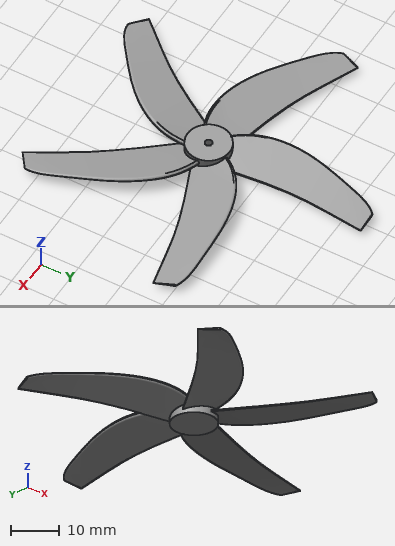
import cadquery as cq
import math

HUB_RADIUS = 5.0
HUB_HEIGHT = 3.8
BORE_RADIUS = 0.8
BORE_DEPTH = 1.8
BLADE_COUNT = 5

ROOT_STATION = 2.0
TIP_STATION = 38.0

NOSE_WIDTH = 0.6
ROOT_NOSE_DEPTH = 1.1
TIP_NOSE_DEPTH = 0.45
ROOT_TRAILING_THICKNESS = 0.4
TIP_TRAILING_THICKNESS = 0.12

BLADE_STATIONS = [
    (ROOT_STATION, -4.05, 2.80, 3.15, 0.80),
    (6.0, -6.75, 2.60, 3.45, 0.95),
    (10.0, -8.05, 2.27, 3.55, 1.07),
    (14.0, -8.47, 1.98, 3.56, 1.20),
    (20.0, -8.00, 1.78, 3.40, 1.30),
    (27.0, -6.30, 2.08, 3.02, 1.30),
    (32.0, -4.80, 2.60, 2.62, 1.30),
    (35.0, -3.70, 2.92, 2.33, 1.30),
    (TIP_STATION, -1.60, 3.21, 1.95, 1.30),
]


def taper(root_value, tip_value, station):
    """Value that changes evenly from the root station to the tip station."""
    fraction = (station - ROOT_STATION) / (TIP_STATION - ROOT_STATION)
    return root_value + (tip_value - root_value) * fraction


def blade_section(station, leading_x, trailing_x, crest_z, trailing_z):
    """Closed blade profile in the plane Y = station: rounded nose tapering to the trailing edge."""
    half_depth = taper(ROOT_NOSE_DEPTH, TIP_NOSE_DEPTH, station) / 2
    trailing_thickness = taper(ROOT_TRAILING_THICKNESS, TIP_TRAILING_THICKNESS, station)
    crest_x = leading_x + NOSE_WIDTH
    nose_z = crest_z - half_depth
    round_x = crest_x - NOSE_WIDTH * math.sqrt(0.5)
    round_rise = half_depth * math.sqrt(0.5)

    crest = cq.Vector(crest_x, station, crest_z)
    upper_round = cq.Vector(round_x, station, nose_z + round_rise)
    nose_tip = cq.Vector(leading_x, station, nose_z)
    lower_round = cq.Vector(round_x, station, nose_z - round_rise)
    nose_underside = cq.Vector(crest_x, station, nose_z - half_depth)
    trailing_bottom = cq.Vector(trailing_x, station, trailing_z)
    trailing_top = cq.Vector(trailing_x, station, trailing_z + trailing_thickness)
    return cq.Wire.assembleEdges([
        cq.Edge.makeThreePointArc(crest, upper_round, nose_tip),
        cq.Edge.makeThreePointArc(nose_tip, lower_round, nose_underside),
        cq.Edge.makeLine(nose_underside, trailing_bottom),
        cq.Edge.makeLine(trailing_bottom, trailing_top),
        cq.Edge.makeLine(trailing_top, crest),
    ])


def make_hub():
    """Round hub with a blind bore in the centre of its top face."""
    disc = cq.Workplane("XY").circle(HUB_RADIUS).extrude(HUB_HEIGHT)
    return disc.faces(">Z").workplane().hole(2 * BORE_RADIUS, BORE_DEPTH)


def make_blade():
    """Blade lofted through its stations, its root trimmed to the round face of the hub."""
    sections = [blade_section(*station) for station in BLADE_STATIONS]
    loft = cq.Workplane(obj=cq.Solid.makeLoft(sections))
    hub_space = cq.Workplane("XY").circle(HUB_RADIUS).extrude(HUB_HEIGHT)
    return loft.cut(hub_space).solids()


def make_blades():
    """All blades, spaced evenly about the Z axis from the first one along +Y."""
    blade = make_blade()
    spacing = 360.0 / BLADE_COUNT
    blades = []
    for index in range(BLADE_COUNT):
        blades.append(blade.rotate((0, 0, 0), (0, 0, 1), index * spacing))
    return blades


hub = make_hub()
blades = make_blades()
result = cq.Compound.makeCompound([hub.val(), *[blade.val() for blade in blades]])